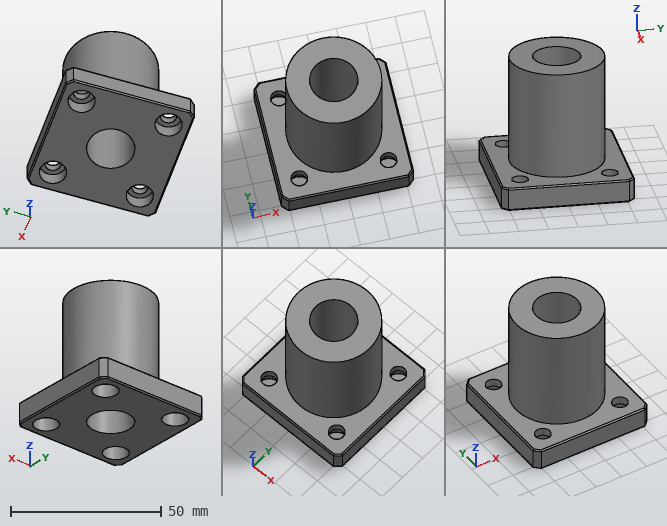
import cadquery as cq

flange_side = 45.0
flange_thickness = 8.0
corner_cut = 2.02
edge_chamfer = 0.5

total_height = 45.0
sleeve_diameter = 32.0
bore_diameter = 16.0

hole_spacing = 30.4
hole_diameter = 5.5
counterbore_diameter = 9.0
counterbore_depth = 5.1


def make_flange():
    """Square plate with cut corners and chamfered top and bottom edges."""
    plate = cq.Workplane("XY").rect(flange_side, flange_side).extrude(flange_thickness)
    plate = plate.edges("|Z").chamfer(corner_cut)
    return plate.faces("<Z or >Z").edges().chamfer(edge_chamfer)


def make_screw_holes():
    """Cutting bodies for the stepped holes at the flange corners."""
    centers = cq.Workplane("XY").rect(hole_spacing, hole_spacing, forConstruction=True).vertices()
    through_holes = centers.circle(hole_diameter / 2).extrude(flange_thickness)
    counterbores = centers.circle(counterbore_diameter / 2).extrude(counterbore_depth)
    return through_holes.union(counterbores)


sleeve = cq.Workplane("XY").circle(sleeve_diameter / 2).extrude(total_height)
bore = cq.Workplane("XY").circle(bore_diameter / 2).extrude(total_height)

result = make_flange().union(sleeve).cut(bore).cut(make_screw_holes())